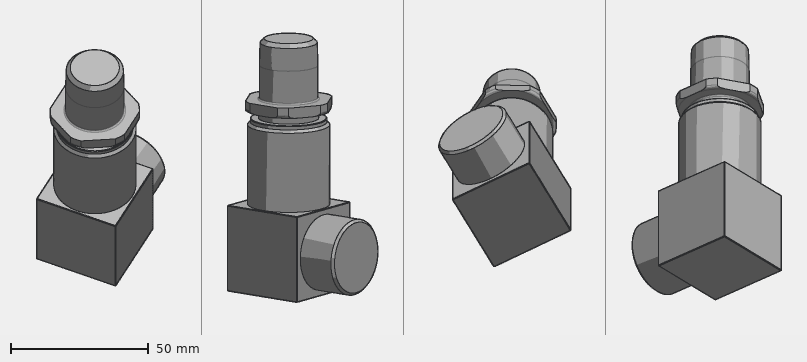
import cadquery as cq
import math

total_height = 93.5

block_size = 32.0
block_edge_chamfer = 0.3

port_diameter = 28.0
port_end_y = 30.95
port_chamfer = 0.9

sleeve_diameter = 30.0
sleeve_lip_diameter = 28.0
sleeve_top_z = 64.0
sleeve_lip_height = 1.5
sleeve_lip_chamfer = 0.3
sleeve_shoulder = (sleeve_diameter - sleeve_lip_diameter) / 2

hex_flats = sleeve_diameter
hex_corner_diameter = 32.5
hex_bottom_z = 67.0
hex_height = 4.0
hex_corner_fillet = 1.1
hex_top_z = hex_bottom_z + hex_height

neck_diameter = 22.0
stem_diameter = 21.3
root_fillet = 0.6
crown_base_z = 83.6
crown_top_diameter = 20.85
stem_end_diameter = 17.9
stem_end_chamfer = (crown_top_diameter - stem_end_diameter) / 2


def make_block():
    """Cube with broken edges."""
    return (
        cq.Workplane("XY")
        .box(block_size, block_size, block_size, centered=(True, True, False))
        .edges()
        .chamfer(block_edge_chamfer)
    )


def make_port():
    """Cylinder on the +Y face of the block, chamfered at its free end."""
    return (
        cq.Workplane("XZ", origin=(0, block_size / 2, block_size / 2))
        .circle(port_diameter / 2)
        .extrude(block_size / 2 - port_end_y)
        .faces(">Y")
        .chamfer(port_chamfer)
    )


def make_sleeve():
    """Cylinder with a bevelled shoulder below a narrower lip."""
    lip_base_z = sleeve_top_z - sleeve_lip_height
    barrel = (
        cq.Workplane("XY", origin=(0, 0, block_size))
        .circle(sleeve_diameter / 2)
        .extrude(lip_base_z - block_size)
        .faces(">Z")
        .chamfer(sleeve_shoulder)
    )
    lip = (
        cq.Workplane("XY", origin=(0, 0, lip_base_z))
        .circle(sleeve_lip_diameter / 2)
        .extrude(sleeve_lip_height)
        .faces(">Z")
        .chamfer(sleeve_lip_chamfer)
    )
    return barrel.union(lip)


def make_hex_collar():
    """Hexagon with flats on +X and -X, its corners turned down and rounded below."""
    hexagon = (
        cq.Workplane("XY", origin=(0, 0, hex_bottom_z))
        .transformed(rotate=(0, 0, 90))
        .polygon(6, hex_flats / math.cos(math.pi / 6))
        .extrude(hex_height)
    )
    corner_limit = (
        cq.Workplane("XY", origin=(0, 0, hex_bottom_z))
        .circle(hex_corner_diameter / 2)
        .extrude(hex_height)
        .faces("<Z")
        .edges()
        .fillet(hex_corner_fillet)
    )
    return hexagon.intersect(corner_limit)


def make_spindle():
    """Turned profile: neck and shank with root fillets, curved crown, end chamfer."""
    neck_radius = neck_diameter / 2
    shank_radius = stem_diameter / 2
    crown_top_radius = crown_top_diameter / 2
    crown_top_z = total_height - stem_end_chamfer
    return (
        cq.Workplane("XZ")
        .moveTo(0, sleeve_top_z)
        .lineTo(neck_radius, sleeve_top_z)
        .lineTo(neck_radius, hex_bottom_z - root_fillet)
        .tangentArcPoint((neck_radius + root_fillet, hex_bottom_z), relative=False)
        .lineTo(neck_radius + root_fillet, hex_top_z)
        .lineTo(shank_radius + root_fillet, hex_top_z)
        .radiusArc((shank_radius, hex_top_z + root_fillet), root_fillet)
        .lineTo(shank_radius, crown_base_z)
        .tangentArcPoint((crown_top_radius, crown_top_z), relative=False)
        .lineTo(stem_end_diameter / 2, total_height)
        .lineTo(0, total_height)
        .close()
        .revolve(360, (0, 0, 0), (0, 1, 0))
    )


def make_stem():
    """Stem with its hexagonal collar in one piece."""
    return make_spindle().union(make_hex_collar())


block = make_block()
port = make_port()
sleeve = make_sleeve()
stem = make_stem()

result = cq.Compound.makeCompound([block.val(), port.val(), *sleeve.solids().vals(), *stem.solids().vals()])